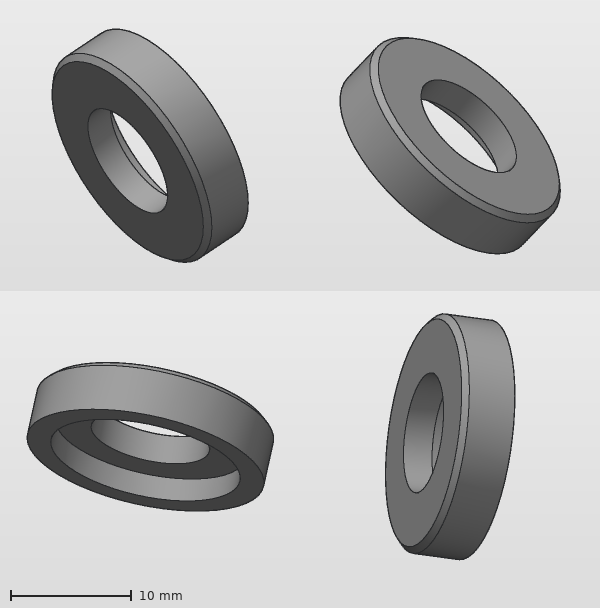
import cadquery as cq

outer_diameter = 20.0
bore_diameter = 10.0
thickness = 4.5
chamfer_size = 0.5
rim_wall = 2.0
web_thickness = 2.5

recess_diameter = outer_diameter - 2 * rim_wall
recess_depth = thickness - web_thickness

ring = (
    cq.Workplane("XZ")
    .circle(outer_diameter / 2)
    .circle(bore_diameter / 2)
    .extrude(thickness)
)

outer_rim = cq.selectors.RadiusNthSelector(-1)
ring = ring.faces("<Y").edges(outer_rim).chamfer(chamfer_size)

recess = cq.Workplane("XZ").circle(recess_diameter / 2).extrude(recess_depth)

result = ring.cut(recess)